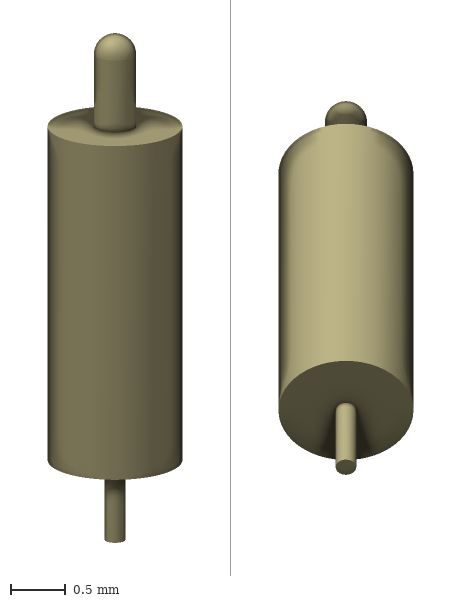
import cadquery as cq

total_length = 4.82
barrel_diameter = 1.23
barrel_bottom = 0.76
barrel_top = 3.945
tail_diameter = 0.19
plunger_diameter = 0.385

base_z = -total_length / 2
plunger_radius = plunger_diameter / 2
plunger_length = total_length - barrel_top


def make_barrel():
    """Cylindrical barrel with the solder tail below it."""
    tail = cq.Workplane("XY", origin=(0, 0, base_z)).circle(tail_diameter / 2).extrude(barrel_bottom)
    return tail.faces(">Z").workplane().circle(barrel_diameter / 2).extrude(barrel_top - barrel_bottom)


def make_plunger():
    """Pin standing on the barrel's top face, ending in a hemisphere."""
    shoulder_z = plunger_length - plunger_radius
    arc_offset = plunger_radius * 0.5 ** 0.5
    profile = (
        cq.Workplane("XZ", origin=(0, 0, base_z + barrel_top))
        .lineTo(plunger_radius, 0)
        .lineTo(plunger_radius, shoulder_z)
        .threePointArc((arc_offset, shoulder_z + arc_offset), (0, plunger_length))
        .close()
    )
    return profile.revolve(360, (0, 0, 0), (0, 1, 0))


barrel = make_barrel()
plunger = make_plunger()
result = cq.Compound.makeCompound([barrel.val(), plunger.val()])